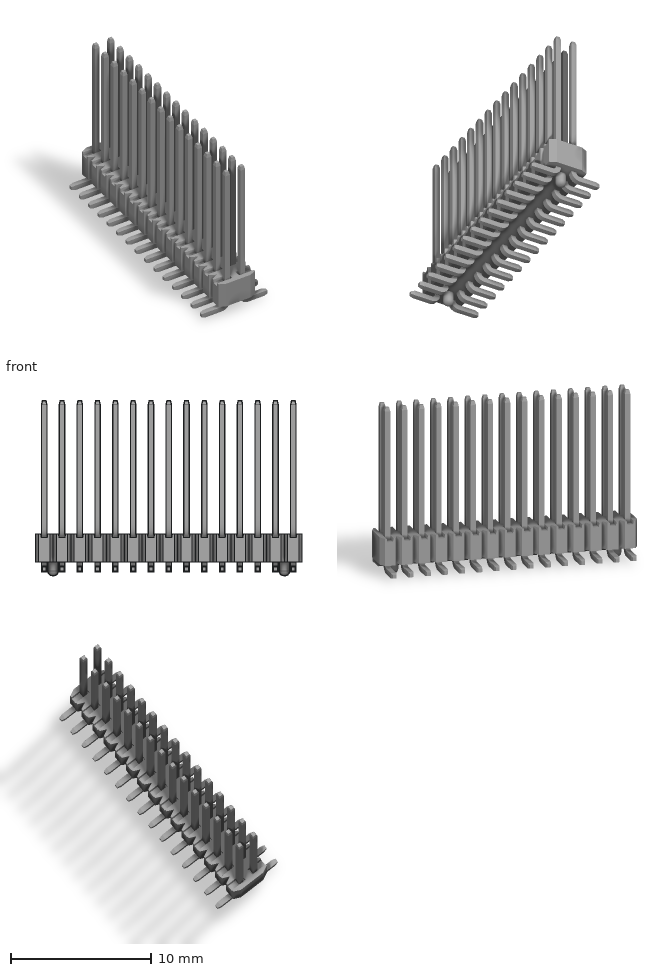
import cadquery as cq


body_length = 19.05
pins_per_row = 15
pitch = body_length / pins_per_row
row_offset = pitch / 2

body_width = 3.07
body_height = 2.02
ridge_flat = 0.8
notch_depth = 0.51

pin_size = 0.4
pin_top = 11.53
leg_bottom = -0.69
foot_span = 5.5
bend_inner_radius = 0.27
tip_size = 0.27
tip_length = 0.29

slot_top_width = 0.51
slot_floor_width = 0.42
slot_depth = 0.27
slot_inner_y = 0.3

peg_radius = 0.38
peg_length = 0.97
peg_rounding = 0.35

pin_xs = [(i - (pins_per_row - 1) / 2) * pitch for i in range(pins_per_row)]


def make_body():
    """Block with a V notch between neighbouring pins on both long sides."""
    valley_y = body_width / 2 - notch_depth
    front = [(-body_length / 2, -valley_y)]
    for x in pin_xs:
        front.append((x - ridge_flat / 2, -body_width / 2))
        front.append((x + ridge_flat / 2, -body_width / 2))
        front.append((x + pitch / 2, -valley_y))
    back = [(x, -y) for x, y in reversed(front)]
    return cq.Workplane("XY").polyline(front + back).close().extrude(body_height)


def make_slot(x):
    """Cutter for the relief slot of the +Y pin at x."""
    slot_length = body_width / 2 - slot_inner_y
    floor_z = body_height - slot_depth
    return (
        cq.Workplane("XZ", origin=(x, slot_inner_y, 0))
        .moveTo(-slot_floor_width / 2, floor_z)
        .lineTo(slot_floor_width / 2, floor_z)
        .lineTo(slot_top_width / 2, body_height)
        .lineTo(-slot_top_width / 2, body_height)
        .close()
        .extrude(-slot_length)
    )


def make_tip(plane):
    """Square tip tapering away from the end of a pin, along the plane normal."""
    return (
        cq.Workplane(plane)
        .rect(pin_size, pin_size)
        .workplane(offset=tip_length)
        .rect(tip_size, tip_size)
        .loft(ruled=True)
    )


def make_pin(x):
    """The +Y pin at x: upright post, bend and foot pointing outward."""
    bend_radius = bend_inner_radius + pin_size / 2
    foot_z = leg_bottom + pin_size / 2
    post_end = pin_top - tip_length
    foot_end = foot_span / 2 - tip_length
    path = (
        cq.Workplane("YZ", origin=(x, 0, 0))
        .moveTo(row_offset, post_end)
        .lineTo(row_offset, foot_z + bend_radius)
        .tangentArcPoint((row_offset + bend_radius, foot_z), relative=False)
        .lineTo(foot_end, foot_z)
    )
    post_plane = cq.Plane(origin=(x, row_offset, post_end), xDir=(1, 0, 0), normal=(0, 0, 1))
    foot_plane = cq.Plane(origin=(x, foot_end, foot_z), xDir=(1, 0, 0), normal=(0, 1, 0))
    wire = cq.Workplane(post_plane).rect(pin_size, pin_size).sweep(path)
    return wire.union(make_tip(post_plane)).union(make_tip(foot_plane))


def make_peg(x):
    """Round-ended locating peg below the body."""
    return (
        cq.Workplane("XY", origin=(x, 0, 0))
        .circle(peg_radius)
        .extrude(-peg_length)
        .faces("<Z")
        .edges()
        .fillet(peg_rounding)
    )


def both_rows(shapes):
    """The given +Y row of shapes together with its mirror image."""
    row = [shape.val() for shape in shapes]
    mirrored = [shape.mirror("XZ") for shape in row]
    return row + mirrored


slots = both_rows(make_slot(x) for x in pin_xs)
pins = both_rows(make_pin(x) for x in pin_xs)
peg_x = (pin_xs[-2] + pin_xs[-1]) / 2
pegs = [make_peg(x).val() for x in (-peg_x, peg_x)]

solid = make_body().val().cut(*slots).fuse(*pins, *pegs)
result = cq.Workplane(solid)